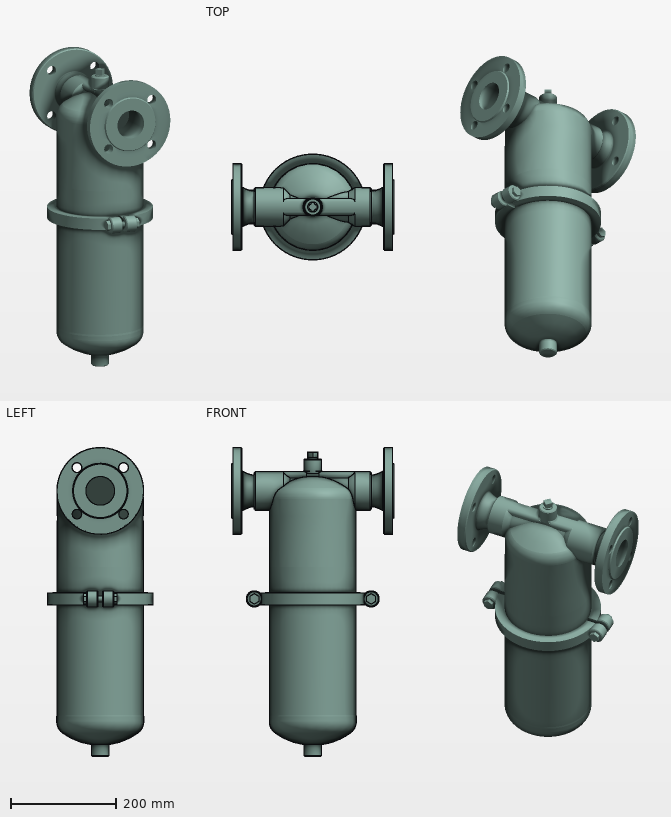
import cadquery as cq
import math

nipple_diameter = 33.5
nipple_chamfer = 2.0
bottom_seam_z = 79.0
bottom_step_z = 75.0
bottom_tangent_z = 66.5
top_seam_z = 360.0
top_tangent_z = 489.0
tube_diameter = 165.0
cap_diameter = 166.0
head_diameter = 164.5
crown_radius = 121.0
corner_radius = 26.5

height = 588.0
length = 310.0
flange_diameter = 165.0
run_z = height - flange_diameter / 2
flange_thickness = 17.0
flange_edge_chamfer = 2.0
raised_face_diameter = 102.0
raised_face_edge_diameter = 105.0
raised_face_height = 3.0
bolt_circle_diameter = 125.0
bolt_hole_diameter = 18.0
bolt_hole_count = 4
first_bolt_hole_angle = 45
bore_diameter = 54.5
neck_diameter = 60.5
hub_diameter = 74.0
hub_fillet = 2.5
hub_middle_diameter = 66.0
hub_end_x = 115.0
body_end_x = 112.0
body_chamfer = 3.0

pocket_left_x = -56.0
pocket_right_x = 80.0
pocket_end_slope = 12.5
rib_width = 32.0
rib_edge_radius = 7.5
pocket_floor_diameter = 59.0

boss_diameter = 34.0
boss_top_z = 566.0
boss_chamfer = 2.0
boss_base_height = 33.5
boss_foot_diameter = 37.5
boss_foot_height = 36.5
pad_length = 23.0
plug_collar_diameter = 19.5
plug_collar_height = 2.5
plug_square = 13.5
plug_top_z = 579.0

clamp_z = 300.0
clamp_diameter = 201.5
clamp_rim_height = 22.5
clamp_ridge_diameter = 177.0
clamp_ridge_height = 23.5
clamp_bore_height = 22.5
clamp_gap = 8.0
knuckle_diameter = 30.5
knuckle_length = 22.0
knuckle_chamfer = 2.0
knuckle_x = 111.0
bolt_diameter = 12.0
bolt_head_flats = 17.0
bolt_head_height = 6.5


def dome_points(rim_radius):
    """Corner middle, crown tangent, crown middle and apex of a dished end, as (radius, height)."""
    centre_r = rim_radius - corner_radius
    centre_drop = math.sqrt((crown_radius - corner_radius) ** 2 - centre_r**2)
    tangent_angle = math.atan2(centre_drop, centre_r)

    def on_corner(angle):
        return (centre_r + corner_radius * math.cos(angle), corner_radius * math.sin(angle))

    def on_crown(angle):
        return (crown_radius * math.cos(angle), crown_radius * math.sin(angle) - centre_drop)

    crown_mid_angle = (tangent_angle + math.pi / 2) / 2
    return (
        on_corner(tangent_angle / 2),
        on_corner(tangent_angle),
        on_crown(crown_mid_angle),
        (0, crown_radius - centre_drop),
    )


def make_shell():
    """Tube with a dished bottom cap and a dished, slightly tapered head."""
    low_corner, low_tangent, low_crown, low_apex = [
        (r, bottom_tangent_z - h) for r, h in dome_points(cap_diameter / 2)
    ]
    top_corner, top_tangent, top_crown, top_apex = [
        (r, top_tangent_z + h) for r, h in dome_points(head_diameter / 2)
    ]
    return (
        cq.Workplane("XZ")
        .moveTo(*low_apex)
        .threePointArc(low_crown, low_tangent)
        .threePointArc(low_corner, (cap_diameter / 2, bottom_tangent_z))
        .lineTo(cap_diameter / 2, bottom_step_z)
        .lineTo(tube_diameter / 2, bottom_seam_z)
        .lineTo(tube_diameter / 2, top_seam_z)
        .lineTo(head_diameter / 2, top_tangent_z)
        .threePointArc(top_corner, top_tangent)
        .threePointArc(top_crown, top_apex)
        .close()
        .revolve(360, (0, 0), (0, 1))
    )


def make_nipple():
    """Drain nipple, long enough to end inside the bottom cap."""
    return (
        cq.Workplane("XY")
        .circle(nipple_diameter / 2)
        .extrude(bottom_tangent_z)
        .faces("<Z")
        .chamfer(nipple_chamfer)
    )


def make_run_end(pocket_x):
    """One end of the pipe run, from the axis of the vessel out along +X."""
    face_x = length / 2
    flange_front_x = face_x - raised_face_height
    flange_back_x = flange_front_x - flange_thickness
    hub_start_x = flange_back_x - hub_fillet
    flange_r = flange_diameter / 2
    floor_r = pocket_floor_diameter / 2
    neck_r = neck_diameter / 2
    hub_r = hub_diameter / 2
    fillet_mid = hub_fillet * (1 - math.sqrt(0.5))
    return (
        cq.Workplane("XY", origin=(0, 0, run_z))
        .moveTo(0, 0)
        .lineTo(0, floor_r)
        .lineTo(pocket_x - pocket_end_slope, floor_r)
        .lineTo(pocket_x, hub_r)
        .lineTo(body_end_x - body_chamfer, hub_r)
        .lineTo(body_end_x, hub_r - body_chamfer)
        .lineTo(body_end_x, neck_r)
        .lineTo(hub_end_x, neck_r)
        .threePointArc(((hub_end_x + hub_start_x) / 2, hub_middle_diameter / 2), (hub_start_x, hub_r))
        .threePointArc(
            (flange_back_x - fillet_mid, hub_r + fillet_mid), (flange_back_x, hub_r + hub_fillet)
        )
        .lineTo(flange_back_x, flange_r - flange_edge_chamfer)
        .lineTo(flange_back_x + flange_edge_chamfer, flange_r)
        .lineTo(flange_front_x, flange_r)
        .lineTo(flange_front_x, raised_face_edge_diameter / 2)
        .lineTo(face_x, raised_face_diameter / 2)
        .lineTo(face_x, 0)
        .close()
        .revolve(360, (0, 0), (1, 0))
    )


def make_rib():
    """Central rib between the pockets, with rounded edges and a top that follows the pipe."""
    half = rib_width / 2
    top_r = hub_diameter / 2
    edge_y = half - rib_edge_radius
    edge_z = math.sqrt((top_r - rib_edge_radius) ** 2 - edge_y**2)
    top_angle = math.atan2(edge_z, edge_y)
    top_y = top_r * math.cos(top_angle)
    top_z = top_r * math.sin(top_angle)
    mid_y = edge_y + rib_edge_radius * math.cos(top_angle / 2)
    mid_z = edge_z + rib_edge_radius * math.sin(top_angle / 2)
    return (
        cq.Workplane("YZ", origin=(pocket_left_x, 0, run_z))
        .moveTo(-half, 0)
        .lineTo(half, 0)
        .lineTo(half, edge_z)
        .threePointArc((mid_y, mid_z), (top_y, top_z))
        .threePointArc((0, top_r), (-top_y, top_z))
        .threePointArc((-mid_y, mid_z), (-half, edge_z))
        .close()
        .extrude(pocket_right_x - pocket_left_x)
    )


def cut_flange(body, side):
    """Bore and bolt holes of the flange on the given side (-1 or +1 along X)."""
    face_x = side * length / 2
    plane = cq.Workplane("YZ", origin=(face_x, 0, run_z))
    bore_end_x = pocket_left_x if side < 0 else pocket_right_x
    bore = plane.circle(bore_diameter / 2).extrude(bore_end_x - face_x)
    holes = (
        plane.polarArray(bolt_circle_diameter / 2, first_bolt_hole_angle, 360, bolt_hole_count)
        .circle(bolt_hole_diameter / 2)
        .extrude(-side * (raised_face_height + flange_thickness))
    )
    return body.cut(bore).cut(holes)


def make_boss():
    """Round boss on the rib, with a flared foot and a square-sided pad below it."""
    base_z = run_z + boss_base_height
    boss = (
        cq.Workplane("XY", origin=(0, 0, base_z))
        .circle(boss_diameter / 2)
        .extrude(boss_top_z - base_z)
        .faces(">Z")
        .chamfer(boss_chamfer)
    )
    flare = (boss_foot_diameter - boss_diameter) / 2
    foot = cq.Workplane("XY", origin=(0, 0, run_z + boss_foot_height)).circle(boss_foot_diameter / 2)
    foot = foot.extrude(flare, taper=45)
    pad_height = boss_foot_height + flare
    rib_slab = cq.Workplane("XY", origin=(0, 0, run_z)).rect(length, rib_width).extrude(pad_height)
    pad = cq.Workplane("XY", origin=(0, 0, run_z)).rect(pad_length, rib_width).extrude(boss_base_height)
    return boss.union(foot.intersect(rib_slab)).union(pad)


def make_plug():
    """Square-headed plug that closes the boss; its corners point along X and Y."""
    plug_top = cq.Workplane("XY", origin=(0, 0, boss_top_z))
    collar = plug_top.circle(plug_collar_diameter / 2).extrude(plug_collar_height)
    square = plug_top.transformed(rotate=(0, 0, 45)).rect(plug_square, plug_square)
    return collar.union(square.extrude(plug_top_z - boss_top_z))


def make_vessel():
    body = make_shell().union(make_nipple())
    body = body.union(make_run_end(pocket_right_x))
    body = body.union(make_run_end(-pocket_left_x).mirror("YZ"))
    body = body.union(make_rib()).union(make_boss()).union(make_plug())
    for side in (-1, 1):
        body = cut_flange(body, side)
    return body


def make_clamp_ring():
    """Ring around the tube, highest at a ridge near its bore, split at -X and +X."""
    bore_r = tube_diameter / 2
    ridge_r = clamp_ridge_diameter / 2
    rim_r = clamp_diameter / 2
    upper = [
        (bore_r, clamp_bore_height / 2),
        (ridge_r, clamp_ridge_height / 2),
        (rim_r, clamp_rim_height / 2),
    ]
    lower = [(r, -z) for r, z in reversed(upper)]
    ring = (
        cq.Workplane("XZ", origin=(0, 0, clamp_z))
        .polyline(upper + lower)
        .close()
        .revolve(360, (0, 0), (0, 1))
    )
    gap = cq.Workplane("XY", origin=(0, 0, clamp_z)).box(length, clamp_gap, clamp_ridge_height)
    return ring.cut(gap)


def make_bolt_joint(side):
    """Two knuckles, and the bolt along Y that ties them together, on one side of the ring."""

    def plane(y):
        return cq.Workplane("XZ", origin=(side * knuckle_x, y, clamp_z))

    knuckle_end_y = clamp_gap / 2 + knuckle_length
    joint = plane(knuckle_end_y).circle(bolt_diameter / 2).extrude(2 * knuckle_end_y)
    hexagon_diameter = bolt_head_flats / math.cos(math.pi / 6)
    for knuckle_y, head_y in (
        (knuckle_end_y, knuckle_end_y + bolt_head_height),
        (-clamp_gap / 2, -knuckle_end_y),
    ):
        knuckle = plane(knuckle_y).circle(knuckle_diameter / 2).extrude(knuckle_length)
        head = (
            plane(head_y)
            .transformed(rotate=(0, 0, 90))
            .polygon(6, hexagon_diameter)
            .extrude(bolt_head_height)
        )
        joint = joint.union(knuckle.faces("<Y or >Y").chamfer(knuckle_chamfer)).union(head)
    return joint


def make_clamp():
    clamp = make_clamp_ring()
    tube = cq.Workplane("XY").circle(tube_diameter / 2).extrude(height)
    for side in (-1, 1):
        clamp = clamp.union(make_bolt_joint(side).cut(tube))
    return clamp


vessel = make_vessel()
clamp = make_clamp()

result = cq.Compound.makeCompound([*vessel.solids().vals(), *clamp.solids().vals()])